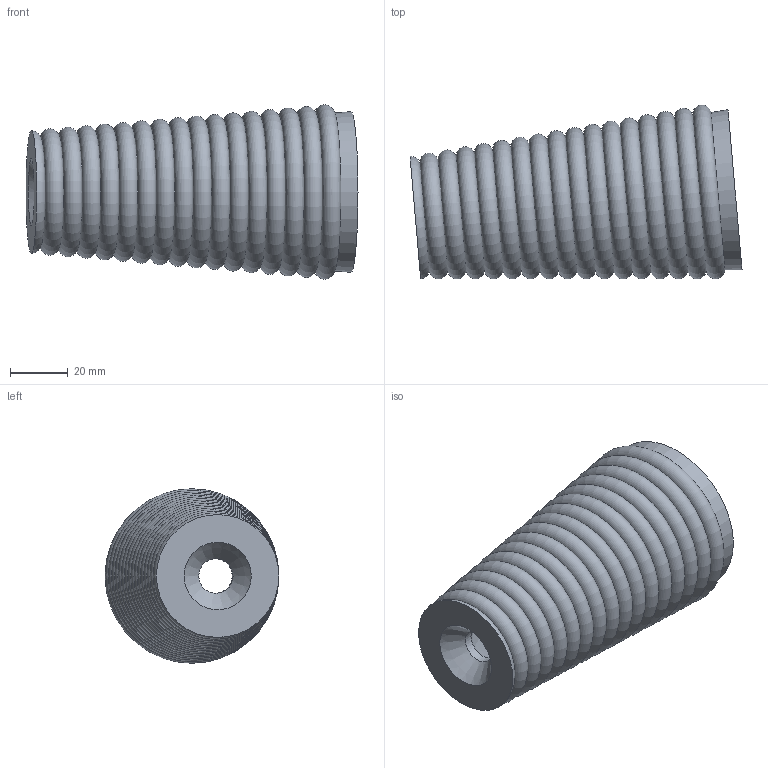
import cadquery as cq
import math


taper_angle = 5.0
body_length = 110.7
small_core_radius = 18.03

ring_count = 17
ring_pitch = 6.35
ring_section_radius = ring_pitch / 2

countersink_radius = 11.65
countersink_depth = 6.9
bore_radius = 5.92
bore_length = 3.0
cavity_floor_angle = 39.0
cavity_wall = 3.0

taper = math.tan(math.radians(taper_angle))
floor_slope = math.tan(math.radians(cavity_floor_angle))
bore_end = countersink_depth + bore_length


def core_radius(axial):
    return small_core_radius + axial * taper


def cavity_radius(axial):
    return core_radius(axial) - cavity_wall


def turned(outline):
    """Revolve (axial, radius) points about the X axis, with the seam on the -Y side."""
    points = [(axial, -radius) for axial, radius in outline]
    return cq.Workplane("XY").polyline(points).close().revolve(360, (0, 0, 0), (1, 0, 0))


def make_core():
    return turned([
        (0, 0),
        (0, small_core_radius),
        (body_length, core_radius(body_length)),
        (body_length, 0),
    ])


def make_ring(axial):
    radius = core_radius(axial)
    section = cq.Workplane("XY").center(axial, -radius).circle(ring_section_radius)
    return section.revolve(360, (0, radius, 0), (1, radius, 0))


def make_end_trim():
    """Stock in front of the small end face, where the first ring would stick out."""
    trim_radius = small_core_radius + 2 * ring_section_radius
    return cq.Workplane("YZ").circle(trim_radius).extrude(-2 * ring_section_radius)


def make_passage():
    """Countersink, bore, conical cavity floor and tapered cavity, as one turned shape."""
    floor_end = bore_end + (cavity_radius(bore_end) - bore_radius) / (floor_slope - taper)
    return turned([
        (0, 0),
        (0, countersink_radius),
        (countersink_depth, bore_radius),
        (bore_end, bore_radius),
        (floor_end, cavity_radius(floor_end)),
        (body_length, cavity_radius(body_length)),
        (body_length, 0),
    ])


grip = make_core()
for index in range(ring_count):
    grip = grip.union(make_ring(index * ring_pitch))
grip = grip.cut(make_end_trim()).cut(make_passage())

result = grip.rotate((0, 0, 0), (0, 0, 1), taper_angle)